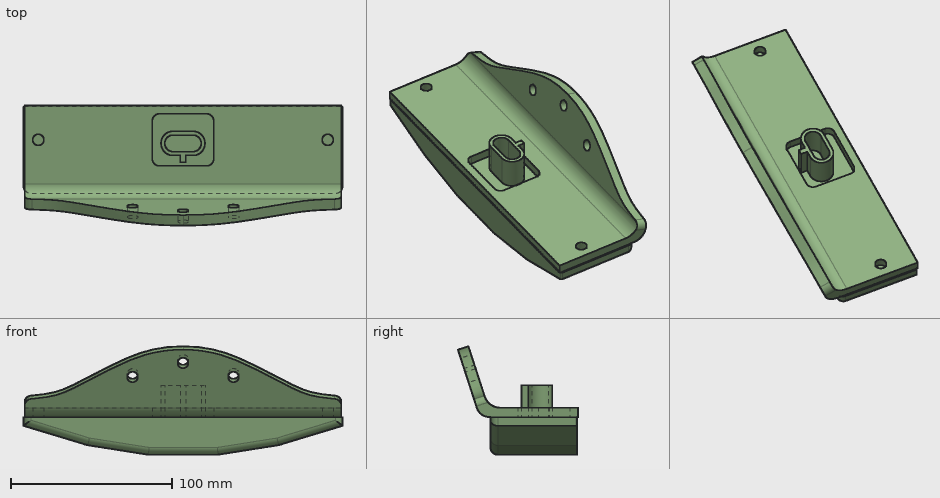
import cadquery as cq
import math


plate_half_length = 98.3
plate_thickness = 6.0
outer_bend_radius = 8.3
inner_bend_radius = 10.0
inner_corner_y = -55.7
flange_thickness = 7.0
flange_lean = 18.0
flange_height = 40.0

crown_radius = 83.2
flank_slope = 28.0
flank_end_x = 69.3
shoulder_x = 93.7
shoulder_end_slope = 5.0
shoulder_height = 8.0
corner_radius = plate_half_length - shoulder_x

flange_hole_diameter = 6.7
flange_hole_spacing = 31.3
center_hole_height = 31.3
side_hole_height = 22.2
plate_hole_diameter = 7.0
plate_hole_x = 89.7
plate_hole_y = -21.4
window_length = 38.0
window_width = 32.3
window_center_y = -21.4
window_corner_radius = 4.4

body_half_length = 99.0
body_back_y = -0.5
body_front_y = -54.5
body_end_depth = 5.3
body_knee_x = 59.2
body_knee_depth = 17.5
body_floor_half_length = 21.5
body_depth = 23.4
body_front_fillet = 4.8
body_back_fillet = 1.0

shroud_length = 27.3
shroud_width = 15.0
shroud_wall = 2.4
shroud_center_y = -23.5
shroud_height = plate_thickness + 13.9
key_width = 3.4
key_end_y = -35.3

lean = math.radians(flange_lean)
slope = math.radians(flank_slope)
shoulder_slope = math.radians(shoulder_end_slope)

flange_plane = cq.Plane(
    origin=(0, inner_corner_y, plate_thickness),
    xDir=(1, 0, 0),
    normal=(0, -math.cos(lean), -math.sin(lean)),
)


def make_bent_sheet():
    """Flat plate and leaning flange as one side profile, with rounded bend."""
    rise = flange_height + plate_thickness
    inner_tip_y = inner_corner_y - rise * math.sin(lean)
    inner_tip_z = plate_thickness + rise * math.cos(lean)
    outer_tip_y = inner_tip_y - flange_thickness * math.cos(lean)
    outer_tip_z = inner_tip_z - flange_thickness * math.sin(lean)
    outer_corner_y = outer_tip_y + outer_tip_z * math.tan(lean)
    sheet = (
        cq.Workplane("YZ")
        .polyline([
            (0, 0),
            (outer_corner_y, 0),
            (outer_tip_y, outer_tip_z),
            (inner_tip_y, inner_tip_z),
            (inner_corner_y, plate_thickness),
            (0, plate_thickness),
        ])
        .close()
        .extrude(plate_half_length, both=True)
    )
    pick = 0.2
    bends = (
        (outer_corner_y, 0, outer_bend_radius),
        (inner_corner_y, plate_thickness, inner_bend_radius),
    )
    for y, z, radius in bends:
        bend_edge = cq.selectors.BoxSelector(
            (-pick, y - pick, z - pick), (pick, y + pick, z + pick)
        )
        sheet = sheet.edges(bend_edge).fillet(radius)
    return sheet


def make_flange_outline():
    """Prism across the flange that carries its curved upper edge."""
    reach = 118.9
    crown_end_x = crown_radius * math.sin(slope)
    crown_end_height = flange_height - crown_radius * (1 - math.cos(slope))
    flank_end_height = crown_end_height - (flank_end_x - crown_end_x) * math.tan(slope)
    corner_inset = corner_radius * (1 - math.sqrt(0.5))
    half_outline = (
        cq.Workplane(flange_plane)
        .moveTo(0, flange_height)
        .spline(
            [
                (crown_end_x, crown_end_height),
                (flank_end_x, flank_end_height),
                (shoulder_x, shoulder_height),
            ],
            tangents=[(1, 0), (1, -math.tan(shoulder_slope))],
            includeCurrent=True,
        )
        .threePointArc(
            (plate_half_length - corner_inset, shoulder_height - corner_inset),
            (plate_half_length, shoulder_height - corner_radius),
        )
        .lineTo(plate_half_length, -reach)
        .lineTo(0, -reach)
        .close()
        .extrude(reach, both=True)
    )
    return half_outline.union(half_outline.mirror("YZ"))


def make_flange_holes():
    return (
        cq.Workplane(flange_plane)
        .pushPoints([
            (-flange_hole_spacing, side_hole_height),
            (0, center_hole_height),
            (flange_hole_spacing, side_hole_height),
        ])
        .circle(flange_hole_diameter / 2)
        .extrude(flange_thickness)
    )


def make_plate_openings():
    """Two round end holes and the rounded window around the connector."""
    holes = (
        cq.Workplane("XY")
        .pushPoints([(-plate_hole_x, plate_hole_y), (plate_hole_x, plate_hole_y)])
        .circle(plate_hole_diameter / 2)
        .extrude(plate_thickness)
    )
    window = (
        cq.Workplane("XY")
        .center(0, window_center_y)
        .rect(window_length, window_width)
        .extrude(plate_thickness)
        .edges("|Z")
        .fillet(window_corner_radius)
    )
    return holes.union(window)


def make_mounting_plate():
    return (
        make_bent_sheet()
        .intersect(make_flange_outline())
        .cut(make_flange_holes())
        .cut(make_plate_openings())
    )


def make_body_block():
    """Block with a faceted underside and rounded front edges."""
    block = (
        cq.Workplane("XZ", origin=(0, body_back_y, 0))
        .polyline([
            (-body_half_length, 0),
            (-body_half_length, -body_end_depth),
            (-body_knee_x, -body_knee_depth),
            (-body_floor_half_length, -body_depth),
            (body_floor_half_length, -body_depth),
            (body_knee_x, -body_knee_depth),
            (body_half_length, -body_end_depth),
            (body_half_length, 0),
        ])
        .close()
        .extrude(body_back_y - body_front_y)
    )
    block = block.edges("|Z and >Y").fillet(body_back_fillet)
    front_edges = block.faces("<Y").edges("not(>Z)")
    return front_edges.fillet(body_front_fillet)


def make_shroud():
    """Hollow slot-shaped shroud with a key rib on its front side."""
    shroud = (
        cq.Workplane("XY")
        .center(0, shroud_center_y)
        .slot2D(shroud_length, shroud_width)
        .slot2D(shroud_length - 2 * shroud_wall, shroud_width - 2 * shroud_wall)
        .extrude(shroud_height)
    )
    key_start_y = shroud_center_y - shroud_width / 2 + shroud_wall / 2
    key = (
        cq.Workplane("XY")
        .center(0, (key_start_y + key_end_y) / 2)
        .rect(key_width, key_start_y - key_end_y)
        .extrude(shroud_height)
    )
    return shroud.union(key)


mounting_plate = make_mounting_plate()
connector_body = make_body_block().union(make_shroud())

result = cq.Compound.makeCompound([
    mounting_plate.solids().val(),
    connector_body.solids().val(),
])